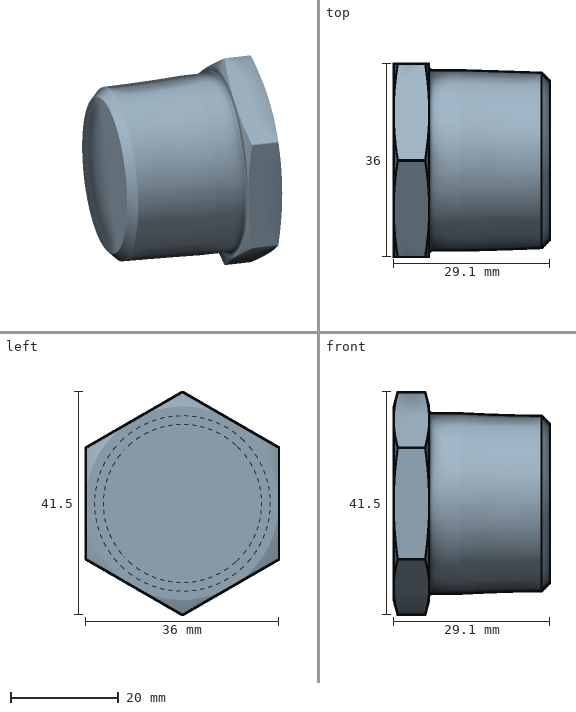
import cadquery as cq
import math


total_length = 29.1
across_flats = 36.0
across_corners = 41.45
head_thickness = 6.6
head_chamfer_angle = 15.0
collar_diameter = 33.65
collar_end = 12.28
neck_fillet = 0.5
taper_ratio = 1 / 16
end_chamfer = 1.6

head_radius = across_corners / 2
face_radius = across_flats / 2
head_chamfer_depth = (head_radius - face_radius) * math.tan(math.radians(head_chamfer_angle))
sharp_corners = across_flats / math.cos(math.radians(30))
collar_radius = collar_diameter / 2
taper_end = total_length - end_chamfer
taper_end_radius = collar_radius - (taper_end - collar_end) * taper_ratio / 2
end_radius = taper_end_radius - end_chamfer


def turned(profile):
    """Revolve a closed XY profile about the X axis."""
    return profile.close().revolve(360, (0, 0, 0), (1, 0, 0))


def make_head():
    """Hexagon with corners on Z, trimmed and chamfered on both faces."""
    hexagon = (
        cq.Workplane("YZ")
        .polygon(6, sharp_corners)
        .extrude(head_thickness)
        .rotate((0, 0, 0), (1, 0, 0), 90)
    )
    envelope = turned(
        cq.Workplane("XY")
        .lineTo(0, face_radius)
        .lineTo(head_chamfer_depth, head_radius)
        .lineTo(head_thickness - head_chamfer_depth, head_radius)
        .lineTo(head_thickness, face_radius)
        .lineTo(head_thickness, 0)
    )
    return hexagon.intersect(envelope)


def make_plug():
    """Straight collar with a concave fillet at the head, then a taper with a chamfered end."""
    fillet_sag = neck_fillet * (1 - math.sqrt(0.5))
    return turned(
        cq.Workplane("XY")
        .moveTo(head_thickness, 0)
        .lineTo(head_thickness, collar_radius + neck_fillet)
        .threePointArc(
            (head_thickness + fillet_sag, collar_radius + fillet_sag),
            (head_thickness + neck_fillet, collar_radius),
        )
        .lineTo(collar_end, collar_radius)
        .lineTo(taper_end, taper_end_radius)
        .lineTo(total_length, end_radius)
        .lineTo(total_length, 0)
    )


result = make_head().union(make_plug())